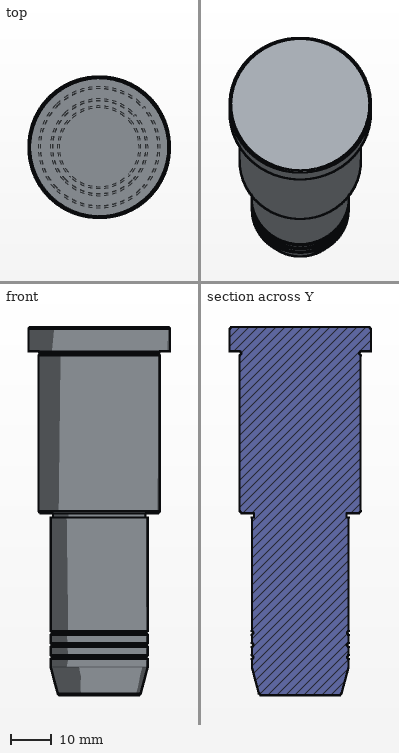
import cadquery as cq
import math

length = 91.0

head_diameter = 35.0
body_diameter = 30.0
shank_diameter = 24.0
neck_diameter = 22.9

head_height = 6.0
body_height = 40.0
neck_height = 1.0
tip_height = 7.0

head_chamfer = 0.5
body_chamfer = 0.55
tip_chamfer = 0.5
taper_angle = 15.0

groove_width = 1.0
groove_depth = 0.5
groove_count = 3
groove_pitch = 3.0
lowest_groove_z = tip_height + 2.5

head_bottom = length - head_height
body_bottom = head_bottom - body_height
shank_top = body_bottom - neck_height


def cylinder(diameter, bottom, top):
    """Solid cylinder on the Z axis between two levels."""
    return cq.Workplane("XY").workplane(offset=bottom).circle(diameter / 2).extrude(top - bottom)


def v_groove(diameter, center_z):
    """Triangular ring that cuts a V groove into a cylinder of the given diameter."""
    radius = diameter / 2
    overrun = 1.2
    outer_radius = radius + (overrun - 1) * groove_depth
    half_width = overrun * groove_width / 2
    return (
        cq.Workplane("XZ")
        .moveTo(outer_radius, center_z - half_width)
        .lineTo(radius - groove_depth, center_z)
        .lineTo(outer_radius, center_z + half_width)
        .close()
        .revolve(360, (0, 0, 0), (0, 1, 0))
    )


def tapered_tip():
    """Truncated cone that narrows toward the chamfered lower end."""
    top_radius = shank_diameter / 2
    bottom_radius = top_radius - (tip_height - tip_chamfer) * math.tan(math.radians(taper_angle))
    return (
        cq.Workplane("XZ")
        .moveTo(0, 0)
        .lineTo(bottom_radius - tip_chamfer, 0)
        .lineTo(bottom_radius, tip_chamfer)
        .lineTo(top_radius, tip_height)
        .lineTo(0, tip_height)
        .close()
        .revolve(360, (0, 0, 0), (0, 1, 0))
    )


head = cylinder(head_diameter, head_bottom, length).faces(">Z").chamfer(head_chamfer)
body = cylinder(body_diameter, body_bottom, head_bottom).faces("<Z").chamfer(body_chamfer)
neck = cylinder(neck_diameter, shank_top, body_bottom)
shank = cylinder(shank_diameter, tip_height, shank_top)

body = body.cut(v_groove(body_diameter, head_bottom - groove_width / 2))

for index in range(groove_count):
    shank = shank.cut(v_groove(shank_diameter, lowest_groove_z + index * groove_pitch))

result = tapered_tip().union(shank).union(neck).union(body).union(head)